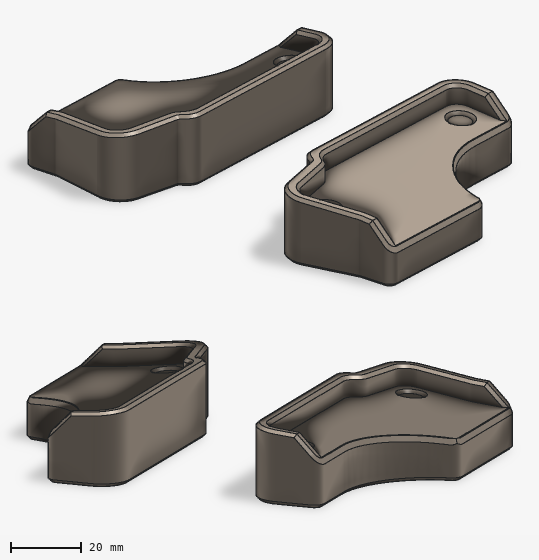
import cadquery as cq
import math


OUTER_X = -66.2
NECK_X = -42.0
INNER_X = -19.6
BACK_Y = 45.5
FRONT_Y = -42.0
FRONT_BEND_X = -54.7
LEAN_ANGLE = 11.8
STEP_X = -23.7
STEP_Y = -25.2
STEP_ANGLE = 33.0
SCOOP_RADIUS = 26.1
SCOOP_X = NECK_X - SCOOP_RADIUS
SCOOP_Y = 27.1

WALL = 4.0
LEG_EXTRA = 0.4
SLOPE = math.tan(math.radians(5))
FLOOR_EDGE_Z = 12.2
WALL_HEIGHT = 6.1
BEVEL_DROP = 6.9
CHAMFER = 0.99

LARGE_RADIUS = 8.5
SMALL_RADIUS = 3.0
STEP_RADIUS = 5.0
CAVITY_STEP_RADIUS = 4.8
STEP_ROOT_RADIUS = 0.99

RECESS_DIAMETER = 9.0
RECESS_DEPTH = 0.99
RECESS_CENTERS = [(-30.8, 34.4), (-37.3, -34.8)]

CLEARANCE = 6.6
BLOCK_HEIGHT = 33.1
UPWARD_NORMAL_Z = 0.3


def floor_z(x):
    return FLOOR_EDGE_Z + (x - OUTER_X) * SLOPE


def rim_z(x):
    return floor_z(x) + WALL_HEIGHT


def scoop_end_angle():
    """Angle around the scoop centre where the scoop reaches OUTER_X."""
    return -math.acos((OUTER_X - SCOOP_X) / SCOOP_RADIUS)


def scoop_point(angle):
    return (SCOOP_X + SCOOP_RADIUS * math.cos(angle), SCOOP_Y + SCOOP_RADIUS * math.sin(angle))


def walled_corners(step_x, step_radius):
    """Corners of the walled sides from the front bend to the back, as (x, y, radius)."""
    lean = math.tan(math.radians(LEAN_ANGLE))
    leg_x = step_x + (FRONT_Y - STEP_Y - (step_x - FRONT_BEND_X) * lean) * lean / (1 + lean**2)
    leg_y = FRONT_Y - (leg_x - FRONT_BEND_X) * lean
    step_top_y = STEP_Y + (INNER_X - step_x) * math.tan(math.radians(STEP_ANGLE))
    return [
        (FRONT_BEND_X, FRONT_Y, 0),
        (leg_x, leg_y, LARGE_RADIUS),
        (step_x, STEP_Y, STEP_ROOT_RADIUS),
        (INNER_X, step_top_y, step_radius),
        (INNER_X, BACK_Y, LARGE_RADIUS),
    ]


def outline_corners():
    """All rounded corners of the plan outline, as (x, y, radius)."""
    open_side = [
        (OUTER_X, FRONT_Y, SMALL_RADIUS),
        (*scoop_point(scoop_end_angle()), SMALL_RADIUS),
        (NECK_X, BACK_Y, SMALL_RADIUS),
    ]
    return walled_corners(STEP_X, STEP_RADIUS) + open_side


def round_corners(prism, corners):
    """Fillet the vertical edge of the prism at each (x, y, radius) corner."""
    for x, y, radius in corners:
        if radius > 0:
            edge = cq.selectors.NearestToPointSelector((x, y, BLOCK_HEIGHT / 2))
            prism = prism.edges("|Z").edges(edge).fillet(radius)
    return prism


def make_block():
    """Full-height block with the sharp-cornered plan outline of the tray."""
    walled = walled_corners(STEP_X, STEP_RADIUS)
    end_angle = scoop_end_angle()
    return (
        cq.Workplane("XY")
        .moveTo(OUTER_X, FRONT_Y)
        .polyline([(x, y) for x, y, _ in walled], includeCurrent=True)
        .lineTo(NECK_X, BACK_Y)
        .lineTo(NECK_X, SCOOP_Y)
        .threePointArc(scoop_point(end_angle / 2), scoop_point(end_angle))
        .close()
        .extrude(BLOCK_HEIGHT)
    )


def space_above(height_at):
    """Everything above the sloped plane whose height at x is height_at(x)."""
    low_x = OUTER_X - 2 * CLEARANCE
    profile = [
        (low_x, height_at(low_x)),
        (0, height_at(0)),
        (0, 2 * BLOCK_HEIGHT),
        (low_x, 2 * BLOCK_HEIGHT),
    ]
    return cq.Workplane("XZ").polyline(profile).close().extrude(2 * BACK_Y, both=True)


def bevel_open_side(block):
    """45 degree bevel that runs the wall ends down to the floor, all along the open side."""
    top = block.faces(cq.selectors.NearestToPointSelector((NECK_X, 0, rim_z(NECK_X))))
    open_side = cq.selectors.BoxSelector(
        (OUTER_X - 1.3, FRONT_Y, 0), (NECK_X + 1.3, BACK_Y, BLOCK_HEIGHT)
    )
    run = BEVEL_DROP / (1 - SLOPE) * math.hypot(1, SLOPE)
    return top.edges("|Y or %ELLIPSE").edges(open_side).chamfer(run, BEVEL_DROP)


def make_cavity():
    """Space above the sloped floor, inside the walls and running out through the open side."""
    walled = walled_corners(STEP_X - LEG_EXTRA, CAVITY_STEP_RADIUS + WALL)
    outside_x = OUTER_X - WALL - CLEARANCE
    corners = [(x, y) for x, y, _ in walled] + [(outside_x, BACK_Y), (outside_x, FRONT_Y)]
    guide = round_corners(cq.Workplane("XY").polyline(corners).close().extrude(BLOCK_HEIGHT), walled)
    outline = guide.faces(">Z").wires().toPending().offset2D(-WALL)
    cavity = outline.extrude(-BLOCK_HEIGHT, combine=False)
    return cavity.intersect(space_above(floor_z))


def make_recess(x, y):
    """45 degree conical recess square to the sloped floor."""
    floor_plane = cq.Plane(origin=(x, y, floor_z(x)), xDir=(1, 0, SLOPE), normal=(-SLOPE, 0, 1))
    return cq.Workplane(floor_plane).circle(RECESS_DIAMETER / 2).extrude(-RECESS_DEPTH, taper=45)


def looks_up(face):
    """True for a face that looks upward: the rim, the floor, the bevel or a chamfer."""
    return face.normalAt().z > UPWARD_NORMAL_Z


def border_edges(solid, keep):
    """Edges between an upward face and a wall face, of which only those passing keep()."""
    upward = [edge for face in solid.faces().vals() if looks_up(face) for edge in face.Edges()]
    border = [edge for edge in upward if sum(edge.isSame(other) for other in upward) == 1]
    return solid.newObject([edge for edge in border if keep(edge)])


def make_tray():
    tray = bevel_open_side(make_block().cut(space_above(rim_z)))
    tray = round_corners(tray, outline_corners())
    tray = border_edges(tray, lambda edge: True).chamfer(CHAMFER)
    tray = tray.faces("<Z").chamfer(CHAMFER)
    cavity = make_cavity()
    tray = tray.cut(cavity)

    def is_inner_rim(edge):
        middle = edge.Center()
        on_cavity = cavity.val().distance(cq.Vertex.makeVertex(*middle.toTuple())) < CHAMFER
        return on_cavity and middle.z > floor_z(middle.x) + CHAMFER

    tray = border_edges(tray, is_inner_rim).chamfer(CHAMFER)
    for x, y in RECESS_CENTERS:
        tray = tray.cut(make_recess(x, y))
    return tray


left_tray = make_tray()
right_tray = left_tray.mirror("YZ")
result = cq.Compound.makeCompound([left_tray.val(), right_tray.val()])